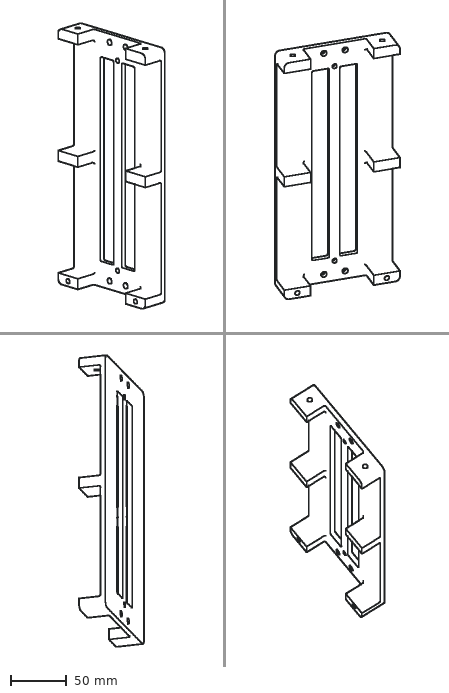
import cadquery as cq

width = 110.0
depth = 25.0
height = 240.0

plate_thickness = 4.8
corner_radius = 4.8

leg_width = 25.0
leg_height = 10.0
root_fillet = 1.5
leg_x = (width - leg_width) / 2
end_leg_z = (height - leg_height) / 2

slot_width = 16.5
slot_margin = 24.0
web_width = 10.0
slot_corner_radius = 1.5
slot_x = (web_width + slot_width) / 2

mount_hole_diameter = 5.3
mount_hole_x = 10.0
mount_hole_margin = 8.0
small_hole_diameter = 4.3
upper_web_hole_margin = 22.8
lower_web_hole_margin = 20.0


def front_cylinder(diameter, x, z, y_back, y_front):
    """Cylinder along Y between two Y positions."""
    return (
        cq.Workplane("XZ", origin=(x, y_back, z))
        .circle(diameter / 2)
        .extrude(y_back - y_front)
    )


plate = cq.Workplane("XY").box(width, plate_thickness, height)
body = plate.translate((0, -plate_thickness / 2, 0))

for x in (-leg_x, leg_x):
    for z in (-end_leg_z, 0, end_leg_z):
        leg = cq.Workplane("XY").box(leg_width, depth, leg_height)
        body = body.union(leg.translate((x, -depth / 2, z)))

edge_clearance = 0.2
root_zone = cq.selectors.BoxSelector(
    (-width / 2 + edge_clearance, -plate_thickness - edge_clearance, -height / 2 + edge_clearance),
    (width / 2 - edge_clearance, -plate_thickness + edge_clearance, height / 2 - edge_clearance),
)
body = body.edges(root_zone).fillet(root_fillet)

rounded_outline = (
    cq.Workplane("XY")
    .box(width, depth, height)
    .edges("|Y")
    .fillet(corner_radius)
    .translate((0, -depth / 2, 0))
)
body = body.intersect(rounded_outline)

for x in (-slot_x, slot_x):
    slot = (
        cq.Workplane("XY")
        .box(slot_width, 2 * plate_thickness, height - 2 * slot_margin)
        .edges("|Y")
        .fillet(slot_corner_radius)
    )
    body = body.cut(slot.translate((x, 0, 0)))

mount_hole_z = height / 2 - mount_hole_margin
for x in (-mount_hole_x, mount_hole_x):
    for z in (-mount_hole_z, mount_hole_z):
        body = body.cut(front_cylinder(mount_hole_diameter, x, z, 0, -plate_thickness))

for z in (height / 2 - upper_web_hole_margin, lower_web_hole_margin - height / 2):
    body = body.cut(front_cylinder(small_hole_diameter, 0, z, 0, -plate_thickness))

for x in (-leg_x, leg_x):
    body = body.cut(front_cylinder(small_hole_diameter, x, -end_leg_z, -plate_thickness, -depth))

    top_hole = (
        cq.Workplane("XY", origin=(x, -depth / 2, height / 2))
        .circle(small_hole_diameter / 2)
        .extrude(-leg_height)
    )
    body = body.cut(top_hole)

result = body